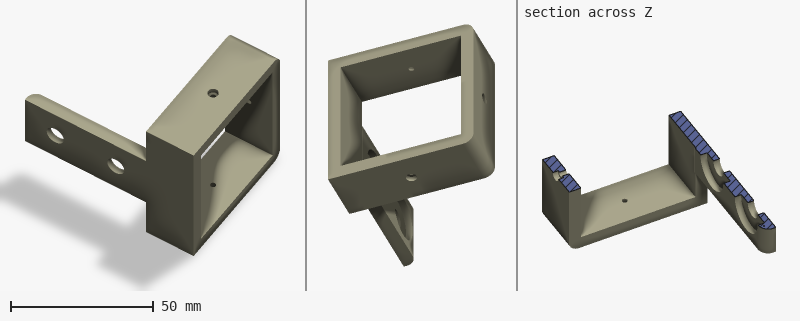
import cadquery as cq

total_length = 70.8
frame_side = 55.0
frame_width = 20.0
wall = 4.75
frame_corner_radius = 4.0
arm_height = 22.5
arm_thickness = 5.0
arm_tip_radius = 4.0

arm_hole_diameter = 7.15
arm_length = total_length - frame_width
arm_recess_diameter = 17.0
arm_recess_depth = arm_thickness / 2
arm_hole_positions = (arm_length / 4, arm_length * 3 / 4)

screw_diameter = 2.05
screw_head_diameter = 4.0
screw_head_depth = 2.0

frame_center_x = total_length - frame_width / 2
frame_center_y = frame_side / 2
opening_side = frame_side - 2 * wall


def make_frame():
    """Square ring with its two rear outer corners rounded."""
    center = (frame_center_x, frame_center_y, 0)
    outer = cq.Workplane("XY").box(frame_width, frame_side, frame_side).translate(center)
    outer = outer.faces(">Y").edges("|X").fillet(frame_corner_radius)
    opening = cq.Workplane("XY").box(frame_width, opening_side, opening_side).translate(center)
    return outer.cut(opening)


def make_arm():
    """Flat arm flush with the frame front, with a rounded tip edge and two holes recessed behind."""
    arm = cq.Workplane("XY").box(arm_length, arm_thickness, arm_height, centered=(False, False, True))
    arm = arm.faces("<X").edges(">Y").fillet(arm_tip_radius)
    centers = [(x, 0) for x in arm_hole_positions]
    holes = cq.Workplane("XZ").pushPoints(centers).circle(arm_hole_diameter / 2).extrude(-arm_thickness)
    recesses = (
        cq.Workplane("XZ", origin=(0, arm_thickness, 0))
        .pushPoints(centers)
        .circle(arm_recess_diameter / 2)
        .extrude(arm_recess_depth)
    )
    return arm.cut(holes).cut(recesses)


def make_screw_hole(outer_point, inward):
    """Cutter for one wall: a narrow through hole and a wider recess from the outer face."""
    start = cq.Vector(*outer_point)
    direction = cq.Vector(*inward)
    shank = cq.Solid.makeCylinder(screw_diameter / 2, wall, start, direction)
    head = cq.Solid.makeCylinder(screw_head_diameter / 2, screw_head_depth, start, direction)
    return cq.Workplane(obj=shank.fuse(head))


result = make_frame().union(make_arm())

screw_holes = (
    ((frame_center_x, frame_center_y, frame_side / 2), (0, 0, -1)),
    ((frame_center_x, frame_center_y, -frame_side / 2), (0, 0, 1)),
    ((frame_center_x, frame_side, 0), (0, -1, 0)),
)
for outer_point, inward in screw_holes:
    result = result.cut(make_screw_hole(outer_point, inward))